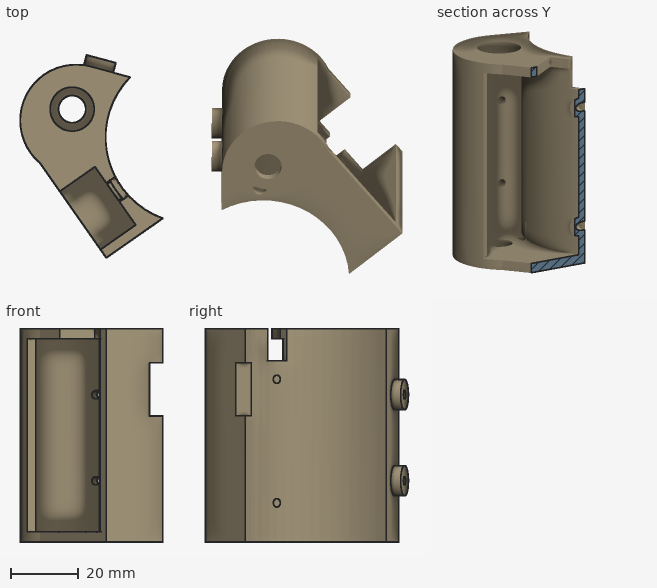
import cadquery as cq
import math

BOX_TILT = 35.0
LATCH_TILT = -15.0

HEIGHT = 63.03
WALL = 3.0
PIPE_RADIUS = 25.4
PIPE_WALL = 1.9

BOX_FACE_U = -41.1
END_FACE_W = 14.73
LATCH_FACE_N = 12.45
BARREL_RADIUS = 16.5
BARREL_T = -34.3

OPENING_START_W = -25.27
OPENING_INNER_U = -33.0
NOTCH_START_W = -9.25
NOTCH_INNER_U = -28.4

PLATE_HOLE_CENTER = (-35.3, 8.3)
TOP_HOLE_DIAMETER = 13.0
FLOOR_HOLE_DIAMETER = 8.0

SCREW_HOLE_DIAMETER = 2.5

PEG_DIAMETER = 9.0
PEG_HEIGHT = 3.0
PEG_T = -31.8
PEG_SPACING = 25.4
LOWER_PEG_Z = 18.13
PEG_LEVELS = (LOWER_PEG_Z, LOWER_PEG_Z + PEG_SPACING)

BOSS_DIAMETER = 6.0
BOSS_FACE_U = NOTCH_INNER_U
BOSS_LEVELS = (11.6, 48.1)

SLOT_WIDTH = 6.8
SLOT_DEPTH = 9.4

TIP_RECESS_X = -12.45
TIP_RECESS_BOTTOM = 37.3
TIP_RECESS_TOP = 52.9

OUTLET_DIAMETER = 4.0
OUTLET_FLAT_X = -28.0
OUTLET_Y = 8.7
OUTLET_RECESS_HEIGHT = 5.0

CLEAR = 80.0

END_INNER_W = END_FACE_W - WALL
PLATE_BOTTOM = HEIGHT - WALL


def turned(a, b, angle):
    """XY point at distances a and b along axes turned by angle degrees."""
    cosine = math.cos(math.radians(angle))
    sine = math.sin(math.radians(angle))
    return (a * cosine - b * sine, a * sine + b * cosine)


def box_point(u, w):
    return turned(u, -w, BOX_TILT)


def latch_point(t, n):
    return turned(t, n, LATCH_TILT)


def circle_leg(radius, offset):
    """Half chord of a circle at an offset from its centre."""
    return math.sqrt(radius**2 - offset**2)


BARREL_CENTER = latch_point(BARREL_T, LATCH_FACE_N - BARREL_RADIUS)


def clamp_prism(inset, pipe_radius, bottom, top):
    """Prism of the clamp outline with its outer sides moved inward by inset."""
    barrel_radius = BARREL_RADIUS - inset
    face_u = BOX_FACE_U + inset
    end_w = END_FACE_W - inset
    latch_n = LATCH_FACE_N - inset

    center_u, center_v = turned(*BARREL_CENTER, -BOX_TILT)
    seam_w = circle_leg(barrel_radius, face_u - center_u) - center_v

    barrel_side = (BARREL_CENTER[0] - barrel_radius, BARREL_CENTER[1])
    latch_tip = latch_point(-circle_leg(pipe_radius, latch_n), latch_n)
    end_tip = box_point(-circle_leg(pipe_radius, end_w), end_w)
    return (
        cq.Workplane("XY", origin=(0, 0, bottom))
        .moveTo(*latch_tip)
        .lineTo(*latch_point(BARREL_T, latch_n))
        .threePointArc(barrel_side, box_point(face_u, seam_w))
        .lineTo(*box_point(face_u, end_w))
        .lineTo(*end_tip)
        .threePointArc((-pipe_radius, 0), latch_tip)
        .close()
        .extrude(top - bottom)
    )


def box_block(u_start, u_end, w_start, w_end, bottom, top):
    """Block with its sides along the box frame."""
    corners = [
        box_point(u_start, w_start),
        box_point(u_end, w_start),
        box_point(u_end, w_end),
        box_point(u_start, w_end),
    ]
    return cq.Workplane("XY", origin=(0, 0, bottom)).polyline(corners).close().extrude(top - bottom)


def level_rod(start, z, direction, diameter, length):
    """Horizontal cylinder from an XY start point, heading along direction degrees."""
    plane = cq.Plane(origin=(*start, z), xDir=(0, 0, 1), normal=(*turned(1, 0, direction), 0))
    return cq.Workplane(plane).circle(diameter / 2).extrude(length)


def hollow_shell():
    cavity = clamp_prism(WALL, PIPE_RADIUS + PIPE_WALL, WALL, PLATE_BOTTOM)
    opening = box_block(-CLEAR, OPENING_INNER_U, OPENING_START_W, END_INNER_W, WALL, PLATE_BOTTOM)
    notch = box_block(-CLEAR, NOTCH_INNER_U, NOTCH_START_W, END_INNER_W, PLATE_BOTTOM, HEIGHT)
    return clamp_prism(0, PIPE_RADIUS, 0, HEIGHT).cut(cavity).cut(opening).cut(notch)


def cut_plate_holes(body):
    axis = cq.Workplane("XY").center(*PLATE_HOLE_CENTER)
    floor_hole = axis.circle(FLOOR_HOLE_DIAMETER / 2).extrude(WALL)
    top_hole = axis.workplane(offset=PLATE_BOTTOM).circle(TOP_HOLE_DIAMETER / 2).extrude(WALL)
    return body.cut(floor_hole).cut(top_hole)


def add_latch_pegs(body):
    """Pegs rooted at the inner side of the latch wall, each with a through hole."""
    root = latch_point(PEG_T, LATCH_FACE_N - WALL)
    outward = LATCH_TILT + 90
    length = WALL + PEG_HEIGHT
    for z in PEG_LEVELS:
        body = body.union(level_rod(root, z, outward, PEG_DIAMETER, length))
        body = body.cut(level_rod(root, z, outward, SCREW_HOLE_DIAMETER, length))
    return body


def add_screw_bosses(body):
    """Bosses facing into the box, each with a hole on through the pipe wall."""
    face = box_point(BOSS_FACE_U, 0)
    to_wall_middle = -BOSS_FACE_U - PIPE_RADIUS - PIPE_WALL / 2
    to_pipe = -BOSS_FACE_U - PIPE_RADIUS
    for z in BOSS_LEVELS:
        body = body.union(level_rod(face, z, BOX_TILT, BOSS_DIAMETER, to_wall_middle))
        body = body.cut(level_rod(face, z, BOX_TILT, SCREW_HOLE_DIAMETER, to_pipe))
    return body


def cut_wall_slot(body):
    half_width = SLOT_WIDTH / 2
    return body.cut(box_block(NOTCH_INNER_U, 0, -half_width, half_width, HEIGHT - SLOT_DEPTH, HEIGHT))


def cut_tip_recess(body):
    recess = cq.Workplane("XY", origin=(TIP_RECESS_X, -CLEAR, TIP_RECESS_BOTTOM)).box(
        CLEAR, CLEAR, TIP_RECESS_TOP - TIP_RECESS_BOTTOM, centered=False
    )
    return body.cut(recess)


def cut_outlet(body):
    radius = OUTLET_DIAMETER / 2
    half_round = (
        cq.Workplane("XY")
        .moveTo(OUTLET_FLAT_X, OUTLET_Y - radius)
        .threePointArc((OUTLET_FLAT_X + radius, OUTLET_Y), (OUTLET_FLAT_X, OUTLET_Y + radius))
        .close()
        .extrude(WALL)
    )
    recess = cq.Workplane("XY", origin=(OUTLET_FLAT_X, OUTLET_Y - radius, WALL)).box(
        radius, OUTLET_DIAMETER, OUTLET_RECESS_HEIGHT, centered=False
    )
    return body.cut(half_round).cut(recess)


body = hollow_shell()
body = cut_plate_holes(body)
body = add_latch_pegs(body)
body = add_screw_bosses(body)
body = cut_wall_slot(body)
body = cut_tip_recess(body)
result = cut_outlet(body)